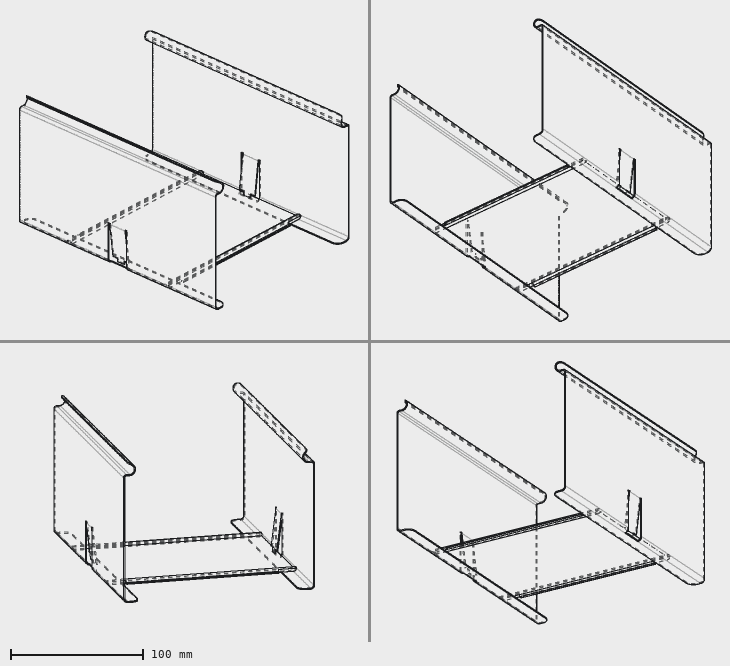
import cadquery as cq
import math

LENGTH = 200.0
WIDTH = 149.0
HEIGHT = 108.2
SHEET = 1.0

FLANGE_REACH = 12.5
CORNER_RADIUS = 6.0
LOWER_BEND_RADIUS = 3.5
UPPER_BEND_RADIUS = 2.2
HOOK_RADIUS = 4.5
HOOK_INSET = 9.5

OUTER_FACE = WIDTH / 2
INNER_FACE = OUTER_FACE - SHEET
FLANGE_EDGE = OUTER_FACE - FLANGE_REACH
LOWER_BEND_Y = OUTER_FACE - LOWER_BEND_RADIUS
HOOK_TIP_Y = OUTER_FACE - HOOK_INSET + HOOK_RADIUS
HOOK_CENTRE_Z = HEIGHT - HOOK_RADIUS
SHELF_BOTTOM = HEIGHT - 2 * HOOK_RADIUS
SHELF_TOP = SHELF_BOTTOM + SHEET
UPPER_BEND_Y = OUTER_FACE - UPPER_BEND_RADIUS
UPPER_BEND_Z = SHELF_TOP - UPPER_BEND_RADIUS

PLATE_BOTTOM = SHEET
PLATE_TOP = PLATE_BOTTOM + SHEET
PLATE_WIDTH = 107.5
BEAD_WIDTH = 5.2
BEAD_HEIGHT = 2.0
BEAD_SPACING = 99.5
LIP_LENGTH = 118.8
NOTCHED_WIDTH = 103.2

WINDOW_WIDTH = 18.5
WINDOW_TOP = 34.5
TONGUE_WIDTH = 15.5
TONGUE_TOP = 34.0
TONGUE_TILT = 7.1
SHOULDER_Z = 5.0
TIP_WIDTH = 6.8


def bend_middle(centre, radius, degrees):
    """Point on a bend arc at the given angle, in the YZ plane."""
    angle = math.radians(degrees)
    return (centre[0] + radius * math.cos(angle), centre[1] + radius * math.sin(angle))


def rail_sheet():
    """Bent sheet of the +Y rail at full length, before its window is cut."""
    lower = (LOWER_BEND_Y, LOWER_BEND_RADIUS)
    upper = (UPPER_BEND_Y, UPPER_BEND_Z)
    hook_inner_radius = HOOK_RADIUS - SHEET
    section = (
        cq.Workplane("YZ")
        .moveTo(FLANGE_EDGE, 0)
        .lineTo(LOWER_BEND_Y, 0)
        .threePointArc(bend_middle(lower, LOWER_BEND_RADIUS, -45), (OUTER_FACE, LOWER_BEND_RADIUS))
        .lineTo(OUTER_FACE, UPPER_BEND_Z)
        .threePointArc(bend_middle(upper, UPPER_BEND_RADIUS, 45), (UPPER_BEND_Y, SHELF_TOP))
        .lineTo(HOOK_TIP_Y, SHELF_TOP)
        .threePointArc((HOOK_TIP_Y - hook_inner_radius, HOOK_CENTRE_Z), (HOOK_TIP_Y, HEIGHT - SHEET))
        .lineTo(HOOK_TIP_Y, HEIGHT)
        .threePointArc((HOOK_TIP_Y - HOOK_RADIUS, HOOK_CENTRE_Z), (HOOK_TIP_Y, SHELF_BOTTOM))
        .lineTo(UPPER_BEND_Y, SHELF_BOTTOM)
        .threePointArc(bend_middle(upper, UPPER_BEND_RADIUS - SHEET, 45), (INNER_FACE, UPPER_BEND_Z))
        .lineTo(INNER_FACE, LOWER_BEND_RADIUS)
        .threePointArc(bend_middle(lower, LOWER_BEND_RADIUS - SHEET, -45), (LOWER_BEND_Y, SHEET))
        .lineTo(FLANGE_EDGE, SHEET)
        .close()
    )
    return section.extrude(LENGTH / 2, both=True)


def round_flange_corners(rail):
    """Round the two free corners of the flange."""
    corners = cq.selectors.BoxSelector(
        (-LENGTH, FLANGE_EDGE - SHEET, -SHEET), (LENGTH, FLANGE_EDGE + SHEET, 2 * SHEET)
    )
    return rail.edges("|Z").edges(corners).fillet(CORNER_RADIUS)


def hook_corners():
    """Waste beyond the rounded corners at both ends of the hook's upper half."""
    corner_x = LENGTH / 2 - CORNER_RADIUS
    corner_y = HOOK_TIP_Y - HOOK_RADIUS
    waste = None
    for end in (-1, 1):
        block_x = end * (corner_x + CORNER_RADIUS / 2)
        block = cq.Workplane("XY", origin=(block_x, corner_y, HOOK_CENTRE_Z)).box(
            CORNER_RADIUS, HOOK_RADIUS, HOOK_RADIUS, centered=(True, False, False)
        )
        kept = (
            cq.Workplane("XY", origin=(end * corner_x, corner_y, HOOK_CENTRE_Z))
            .ellipse(CORNER_RADIUS, HOOK_RADIUS)
            .extrude(HOOK_RADIUS)
        )
        corner = block.cut(kept)
        waste = corner if waste is None else waste.union(corner)
    return waste


def window():
    """Opening through the wall and its lower bend, around the tongue."""
    return cq.Workplane("XY").box(
        WINDOW_WIDTH, LOWER_BEND_RADIUS, WINDOW_TOP, centered=(True, False, False)
    ).translate((0, LOWER_BEND_Y, 0))


def tongue_part(width, bottom, top):
    """Piece of the leaning tongue between two heights."""
    slope = math.tan(math.radians(TONGUE_TILT))
    bottom_y = INNER_FACE - (TONGUE_TOP - bottom) * slope
    top_y = INNER_FACE - (TONGUE_TOP - top) * slope
    outline = [(bottom_y, bottom), (bottom_y + SHEET, bottom), (top_y + SHEET, top), (top_y, top)]
    return cq.Workplane("YZ").polyline(outline).close().extrude(width / 2, both=True)


def tongue():
    """Leaning tongue, narrowed to a tip, with the strip of wall it hangs from."""
    root = cq.Workplane("XY").box(
        TONGUE_WIDTH, SHEET, WINDOW_TOP - TONGUE_TOP, centered=(True, False, False)
    ).translate((0, INNER_FACE, TONGUE_TOP))
    blade = tongue_part(TONGUE_WIDTH, SHOULDER_Z, TONGUE_TOP)
    tip = tongue_part(TIP_WIDTH, PLATE_TOP, SHOULDER_Z)
    return root.union(blade).union(tip)


def side_rail(turn):
    """One finished side rail, turned about Z to its side of the part."""
    rail = round_flange_corners(rail_sheet()).cut(hook_corners()).cut(window()).union(tongue())
    return rail.rotate((0, 0, 0), (0, 0, 1), turn)


def plate_sheet():
    """Flat sheet with its two rounded beads, as long as the gap between the walls."""
    half_width = PLATE_WIDTH / 2
    bead_x = BEAD_SPACING / 2
    outer_reach = BEAD_WIDTH / 2
    outer_crown = PLATE_TOP + BEAD_HEIGHT
    inner_crown = outer_crown - SHEET
    outer_radius = (outer_reach**2 + BEAD_HEIGHT**2) / (2 * BEAD_HEIGHT)
    centre_height = outer_crown - outer_radius - PLATE_BOTTOM
    inner_reach = math.sqrt((outer_radius - SHEET) ** 2 - centre_height**2)
    section = (
        cq.Workplane("XZ")
        .moveTo(-half_width, PLATE_BOTTOM)
        .lineTo(-bead_x - inner_reach, PLATE_BOTTOM)
        .threePointArc((-bead_x, inner_crown), (-bead_x + inner_reach, PLATE_BOTTOM))
        .lineTo(bead_x - inner_reach, PLATE_BOTTOM)
        .threePointArc((bead_x, inner_crown), (bead_x + inner_reach, PLATE_BOTTOM))
        .lineTo(half_width, PLATE_BOTTOM)
        .lineTo(half_width, PLATE_TOP)
        .lineTo(bead_x + outer_reach, PLATE_TOP)
        .threePointArc((bead_x, outer_crown), (bead_x - outer_reach, PLATE_TOP))
        .lineTo(-bead_x + outer_reach, PLATE_TOP)
        .threePointArc((-bead_x, outer_crown), (-bead_x - outer_reach, PLATE_TOP))
        .lineTo(-half_width, PLATE_TOP)
        .close()
    )
    return section.extrude(INNER_FACE, both=True)


def space_between_rails():
    """Space above the flanges and between the walls, rounded along the lower bends."""
    bend = (LOWER_BEND_Y, LOWER_BEND_RADIUS)
    bend_point = bend_middle(bend, LOWER_BEND_RADIUS - SHEET, -45)
    opposite_bend_point = (-bend_point[0], bend_point[1])
    section = (
        cq.Workplane("YZ")
        .moveTo(-LOWER_BEND_Y, SHEET)
        .lineTo(LOWER_BEND_Y, SHEET)
        .threePointArc(bend_point, (INNER_FACE, LOWER_BEND_RADIUS))
        .lineTo(INNER_FACE, HEIGHT)
        .lineTo(-INNER_FACE, HEIGHT)
        .lineTo(-INNER_FACE, LOWER_BEND_RADIUS)
        .threePointArc(opposite_bend_point, (-LOWER_BEND_Y, SHEET))
        .close()
    )
    return section.extrude(LENGTH / 2, both=True)


def base_plate():
    """Beaded plate that spans the rails, its ends shaped to their lower bends."""
    lipped = cq.Workplane("XY").box(PLATE_WIDTH, LIP_LENGTH, HEIGHT)
    notched = cq.Workplane("XY").box(NOTCHED_WIDTH, WIDTH, HEIGHT)
    return plate_sheet().intersect(space_between_rails()).intersect(lipped.union(notched))


rails = [side_rail(turn) for turn in (0, 180)]
plate = base_plate()

result = cq.Compound.makeCompound([*[rail.val() for rail in rails], plate.val()])